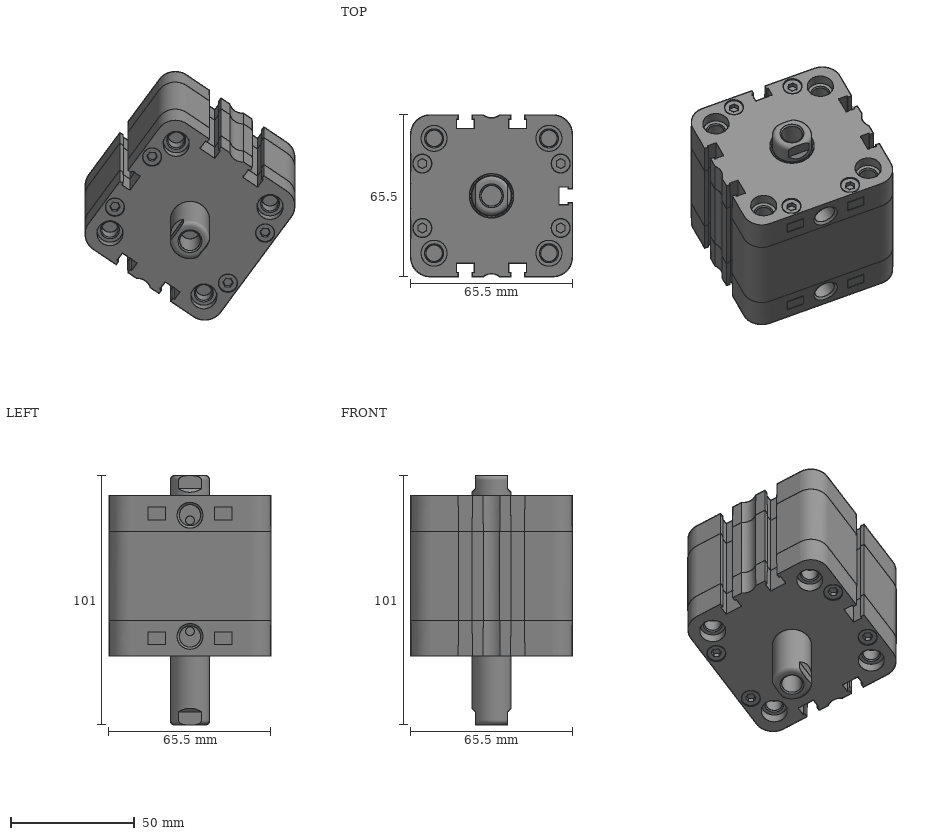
import cadquery as cq
import math

total_length = 101.0
body_side = 65.5
body_height = 65.0
cap_height = 14.5
cap_draft = 0.4
corner_radius = 8.0

rod_diameter = 16.0
rod_top_length = 8.1
rod_end_fillet = 1.9
wrench_width = 13.0
wrench_length = 5.4
rod_thread_diameter = 8.4
rod_thread_chamfer = 0.6
rod_thread_depth = 16.2

seal_diameter = 17.7
seal_seat_rim_diameter = 18.0
seal_lip_diameter = 16.6
seal_height = 3.0

slot_offset = 10.6
slot_opening = 5.6
slot_width = 7.1
slot_depth = 5.5
slot_lip = 1.8
groove_width = 6.7
groove_radius = 5.3

mount_offset = 23.2
mount_bore_diameter = 10.5
mount_bore_depth = 4.8
mount_thread_diameter = 6.7
mount_thread_chamfer = 0.5
mount_thread_depth = 7.1

screw_x = 28.0
screw_y = 13.0
screw_recess_diameter = 7.7
screw_recess_depth = 0.6
screw_head_diameter = 7.5
screw_gap_depth = 2.0
socket_width = 3.5
socket_depth = 2.0

port_diameter = 8.6
port_rim_diameter = 10.5
port_drop = 8.0
port_depth = 9.1
passage_diameter = 3.5
passage_drop = 10.1
passage_depth = 5.0
label_offset = 13.4
label_drop = 7.3
label_width = 7.2
label_height = 5.2
label_depth = 0.3

half_side = body_side / 2
barrel_height = body_height - 2 * cap_height
rod_top = body_height + rod_top_length
rod_bottom = rod_top - total_length
mount_points = [(x, y) for x in (-mount_offset, mount_offset) for y in (-mount_offset, mount_offset)]
screw_points = [(x, y) for x in (-screw_x, screw_x) for y in (-screw_y, screw_y)]


def widening_box(x_size, y_start, y_end, height, growth):
    """Box on Z = 0, centred on X = 0, whose four walls lean outward by growth over its height."""
    base = cq.Workplane("XY").center(0, (y_start + y_end) / 2).rect(x_size, y_end - y_start)
    top = base.workplane(offset=height).rect(x_size + 2 * growth, y_end - y_start + 2 * growth)
    return top.loft(ruled=True)


def profile_block(height, draft):
    """Common outline of the barrel and the caps on Z = 0, its walls leaning inward by the draft angle."""
    growth = height * math.tan(math.radians(draft))
    outline = cq.Sketch().rect(body_side, body_side).vertices().fillet(corner_radius)
    block = cq.Workplane("XY").placeSketch(outline).extrude(height, taper=draft)

    floor_y = half_side - slot_depth
    mouth = widening_box(slot_opening, floor_y, half_side + slot_lip, height, growth)
    chamber = widening_box(slot_width, floor_y, half_side - slot_lip, height, growth)
    groove_y = half_side + math.sqrt(groove_radius**2 - (groove_width / 2) ** 2)
    groove = cq.Workplane("XY").center(0, groove_y).circle(groove_radius).extrude(height, taper=-draft)

    origin, up = (0, 0, 0), (0, 0, 1)
    for turn in (0, 180):
        for x in (-slot_offset, slot_offset):
            for cutter in (mouth, chamber):
                block = block.cut(cutter.translate((x, 0, 0)).rotate(origin, up, turn))
        block = block.cut(groove.rotate(origin, up, turn))
    return block.cut(mouth.rotate(origin, up, -90)).cut(chamber.rotate(origin, up, -90))


def cylinder_down(top_z, diameter, depth, points=((0, 0),)):
    """Cylinders reaching down from top_z at the given XY points."""
    return cq.Workplane("XY").workplane(offset=top_z).pushPoints(points).circle(diameter / 2).extrude(-depth)


def countersink_down(top_z, top_diameter, bottom_diameter, points=((0, 0),)):
    """45-degree cones narrowing down from top_z at the given XY points."""
    depth = (top_diameter - bottom_diameter) / 2
    direction = cq.Vector(0, 0, -1)
    cones = cq.Workplane("XY")
    for x, y in points:
        base = cq.Vector(x, y, top_z)
        cones = cones.add(cq.Solid.makeCone(top_diameter / 2, bottom_diameter / 2, depth, base, direction))
    return cones.combine()


def cut_mounting_holes(cap):
    """Counterbored, chamfered blind holes in the four corners."""
    floor_z = cap_height - mount_bore_depth
    rim_diameter = mount_thread_diameter + 2 * mount_thread_chamfer
    cap = cap.cut(cylinder_down(cap_height, mount_bore_diameter, mount_bore_depth, mount_points))
    cap = cap.cut(countersink_down(floor_z, rim_diameter, mount_thread_diameter, mount_points))
    return cap.cut(cylinder_down(floor_z, mount_thread_diameter, mount_thread_depth, mount_points))


def cut_screw_recesses(cap):
    """Sunken screw heads with hexagon sockets, each in a narrow annular gap."""
    head_z = cap_height - screw_recess_depth
    cap = cap.cut(cylinder_down(cap_height, screw_recess_diameter, screw_gap_depth, screw_points))
    cap = cap.union(cylinder_down(head_z, screw_head_diameter, screw_gap_depth, screw_points))
    socket_corners = socket_width / math.cos(math.pi / 6)
    hexagon = cq.Sketch().regularPolygon(socket_corners / 2, 6)
    sockets = cq.Workplane("XY").workplane(offset=head_z).pushPoints(screw_points)
    return cap.cut(sockets.placeSketch(hexagon).extrude(-socket_depth))


def cut_port(cap):
    """Chamfered air port on the -X side with a narrower passage in its floor."""
    inward = cq.Vector(1, 0, 0)
    mouth = cq.Vector(-half_side, 0, cap_height - port_drop)
    rim_depth = (port_rim_diameter - port_diameter) / 2
    cap = cap.cut(cq.Workplane(cq.Solid.makeCylinder(port_diameter / 2, port_depth, mouth, inward)))
    rim = cq.Solid.makeCone(port_rim_diameter / 2, port_diameter / 2, rim_depth, mouth, inward)
    cap = cap.cut(cq.Workplane(rim))
    passage_start = cq.Vector(port_depth - half_side, 0, cap_height - passage_drop)
    passage = cq.Solid.makeCylinder(passage_diameter / 2, passage_depth, passage_start, inward)
    return cap.cut(cq.Workplane(passage))


def cut_label_pockets(cap):
    """Shallow rectangular label pockets on both sides of the port."""
    for y in (-label_offset, label_offset):
        centre = (label_depth / 2 - half_side, y, cap_height - label_drop)
        cap = cap.cut(cq.Workplane("XY").box(label_depth, label_width, label_height).translate(centre))
    return cap


def make_cap():
    """Cap standing on Z = 0 with its outer face up, bored for the rod."""
    cap = profile_block(cap_height, cap_draft)
    cap = cap.cut(cylinder_down(cap_height, rod_diameter, cap_height))
    cap = cut_mounting_holes(cap)
    cap = cut_screw_recesses(cap)
    cap = cut_port(cap)
    return cut_label_pockets(cap)


def make_upper_cap():
    """Cap with a seat for the seal ring, on top of the barrel."""
    cap = make_cap()
    cap = cap.cut(cylinder_down(cap_height, seal_diameter, seal_height))
    cap = cap.cut(countersink_down(cap_height, seal_seat_rim_diameter, seal_diameter))
    return cap.translate((0, 0, body_height - cap_height))


def make_lower_cap():
    """Cap turned over, with its outer face on Z = 0."""
    return make_cap().mirror("XY").translate((0, 0, cap_height))


def make_barrel():
    """Profile tube between the caps, closely fitting the rod."""
    barrel = profile_block(barrel_height, 0)
    barrel = barrel.cut(cylinder_down(barrel_height, rod_diameter, barrel_height))
    return barrel.translate((0, 0, cap_height))


def make_seal():
    """Ring around the rod with a chamfered lip, flush with the upper cap."""
    seal = cylinder_down(body_height, seal_diameter, seal_height)
    seal = seal.cut(cylinder_down(body_height, rod_diameter, seal_height))
    return seal.cut(countersink_down(body_height, seal_lip_diameter, rod_diameter))


def rod_end_cutter(tip_z):
    """Wrench flats, with 45-degree run-outs, and threaded hole for a rod end at tip_z facing up."""
    flat_x = wrench_width / 2
    rod_radius = rod_diameter / 2
    run_out = rod_radius - flat_x
    flat_z = tip_z - wrench_length
    flat = (
        cq.Workplane("XZ")
        .polyline([(flat_x, tip_z), (flat_x, flat_z), (rod_radius, flat_z - run_out), (rod_radius, tip_z)])
        .close()
        .extrude(rod_radius, both=True)
    )
    rim_diameter = rod_thread_diameter + 2 * rod_thread_chamfer
    cutter = flat.union(flat.mirror("YZ"))
    cutter = cutter.union(cylinder_down(tip_z, rod_thread_diameter, rod_thread_depth))
    return cutter.union(countersink_down(tip_z, rim_diameter, rod_thread_diameter))


def make_rod():
    """Through rod with the same rounded, flatted and threaded end at both tips."""
    rod = cylinder_down(rod_top, rod_diameter, total_length).edges().fillet(rod_end_fillet)
    upper_cutter = rod_end_cutter(rod_top)
    lower_cutter = rod_end_cutter(-rod_bottom).mirror("XY")
    return rod.cut(upper_cutter).cut(lower_cutter)


upper_cap = make_upper_cap()
lower_cap = make_lower_cap()
barrel = make_barrel()
seal = make_seal()
rod = make_rod()

bodies = [upper_cap, lower_cap, barrel, seal, rod]
result = cq.Compound.makeCompound([body.solids().val() for body in bodies])